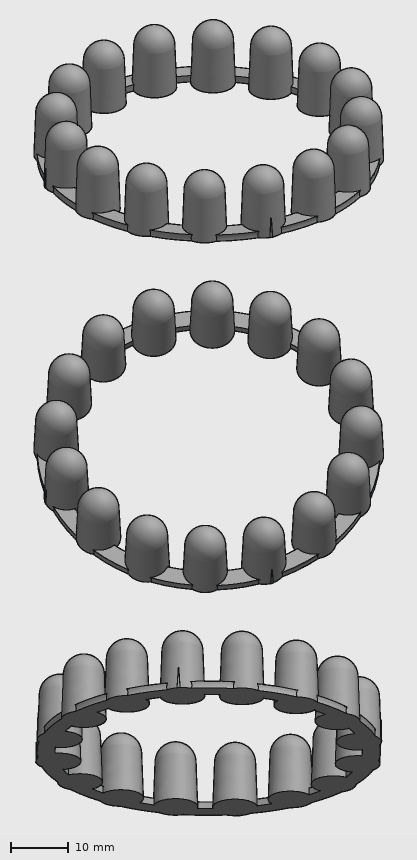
import cadquery as cq
import math

ring_outer_radius = 30.05
ring_inner_radius = 26.85
ring_height = 1.3
groove_depth = 0.09

peg_count = 16
peg_circle_radius = 26.7
peg_turn = 0.2
peg_height = 12.0
peg_base_radius = 3.9
nose_radius = 3.6
nose_seam_height = 8.65

rib_count = 4
rib_outer_radius = 30.65
rib_base_width = 0.55
rib_top_width = 0.05
rib_height = 3.8


def make_ring():
    """Flat ring with a shallow round groove in its outer wall."""
    profile = (
        cq.Workplane("XZ")
        .moveTo(ring_inner_radius, 0)
        .lineTo(ring_outer_radius, 0)
        .threePointArc(
            (ring_outer_radius - groove_depth, ring_height / 2),
            (ring_outer_radius, ring_height),
        )
        .lineTo(ring_inner_radius, ring_height)
        .close()
    )
    return profile.revolve(360, (0, 0, 0), (0, 1, 0))


def make_peg():
    """Tapered peg with a spherical nose, standing on the +X side of the ring."""
    nose_center_height = peg_height - nose_radius
    seam_angle = math.asin((nose_seam_height - nose_center_height) / nose_radius)
    middle_angle = (seam_angle + math.pi / 2) / 2
    profile = (
        cq.Workplane("XZ")
        .lineTo(peg_base_radius, 0)
        .lineTo(nose_radius * math.cos(seam_angle), nose_seam_height)
        .threePointArc(
            (
                nose_radius * math.cos(middle_angle),
                nose_center_height + nose_radius * math.sin(middle_angle),
            ),
            (0, peg_height),
        )
        .close()
    )
    return profile.revolve(360, (0, 0, 0), (0, 1, 0)).translate((peg_circle_radius, 0, 0))


def make_rib():
    """Narrow upright rib that tapers upward, reaching from the peg axis outward."""
    outline = cq.Workplane("YZ", origin=(peg_circle_radius, 0, 0)).polyline(
        [
            (-rib_base_width / 2, 0),
            (rib_base_width / 2, 0),
            (rib_top_width / 2, rib_height),
            (-rib_top_width / 2, rib_height),
        ]
    )
    return outline.close().extrude(rib_outer_radius - peg_circle_radius)


def add_around(body, feature, count):
    """Join equally spaced copies of a feature to the body, turned with the pegs."""
    for index in range(count):
        angle = peg_turn + index * 360 / count
        body = body.union(feature.rotate((0, 0, 0), (0, 0, 1), angle))
    return body


result = make_ring()
result = add_around(result, make_peg(), peg_count)
result = add_around(result, make_rib(), rib_count)